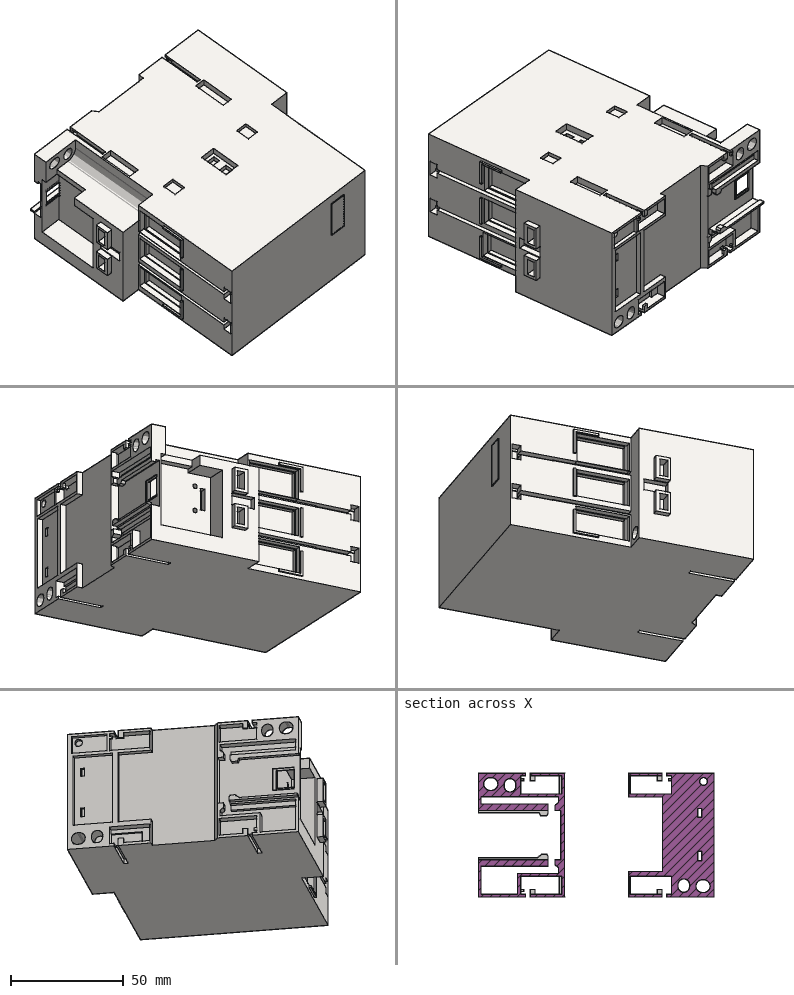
import cadquery as cq
OVERALL_LENGTH = 115.2
OVERALL_WIDTH = 110.0
HEIGHT = 55.0
BASE_LENGTH = 54.7
BASE_WIDTH = 104.6
HEAD_END = 112.3
HEAD_INSET = 9.8
MID_Y = BASE_WIDTH / 2
MID_Z = HEIGHT / 2
WALL = 1.3


def block(x, y, z):
    """Box given by its (low, high) range along each axis."""
    return (
        cq.Workplane("XY")
        .box(x[1] - x[0], y[1] - y[0], z[1] - z[0], centered=False)
        .translate((x[0], y[0], z[0]))
    )


def prism(points_yz, x):
    """Outline in (Y, Z) extruded over an X range."""
    return cq.Workplane("YZ").polyline(points_yz).close().extrude(x[1] - x[0]).translate((x[0], 0, 0))


def flip_y(shape):
    return shape.mirror("XZ", (0, MID_Y, 0))


def flip_z(shape):
    return shape.mirror("XY", (0, 0, MID_Z))


def both_sides(shape):
    """The shape on the -Y side and its mirror image on the +Y side."""
    return shape.union(flip_y(shape))


def top_and_bottom(shape):
    return shape.union(flip_z(shape))


HEAD_Y = (HEAD_INSET, BASE_WIDTH - HEAD_INSET)
END_PAD_THICKNESS = 0.5
END_PAD_Y = (73.2, 81.1)
END_PAD_Z = (29.6, 49.9)


def outer_shape():
    base = block((0, BASE_LENGTH), (0, BASE_WIDTH), (0, HEIGHT))
    head = block((BASE_LENGTH, HEAD_END), HEAD_Y, (0, HEIGHT))
    end_pad = block((HEAD_END, HEAD_END + END_PAD_THICKNESS), END_PAD_Y, END_PAD_Z)
    return base.union(head).union(end_pad)


CHANNEL_DEPTH = 2.8
CHANNEL_Y = (36.5, 66.7)
CHANNEL_SLOPE_WIDTH = 2.0
CHANNEL_PATCH_END_Y = 81.7
PATCH_Z = (11.4, 44.4)


def rail_channel():
    low_y, high_y = CHANNEL_Y
    profile = (
        cq.Workplane("XY")
        .moveTo(0, low_y)
        .lineTo(CHANNEL_DEPTH, low_y + CHANNEL_SLOPE_WIDTH)
        .lineTo(CHANNEL_DEPTH, high_y)
        .lineTo(0, high_y)
        .close()
        .extrude(HEIGHT)
    )
    patch = block((0, CHANNEL_DEPTH), (high_y, CHANNEL_PATCH_END_Y), PATCH_Z)
    return profile.union(patch)


POCKET_DEPTH = 4.0
POCKET_HEIGHT = 8.0
NEAR_POCKET_Y = (18.9, 35.8)
FAR_POCKET_Y = (67.4, 85.6)
GROOVE_LENGTH = 21.7
GROOVE_DEPTH = 2.2
GROOVE_WIDTH = 2.0
GROOVE_OFFSET = 2.1
TAB_WIDTH = 2.3
TAB_BOTTOM = 3.5
SMALL_TAB_WIDTH = 1.3
SMALL_TAB_TOP = 2.4
TAB_THICKNESS = 1.2
UNDERCUT_X = (2.6, POCKET_DEPTH)
UNDERCUT_WIDTH = 1.2
STEP_Y = (71.5, 85.6)
STEP_Z = (WALL, 7.4)
STEP_DEPTH = 5.2


def corner_pocket(length, with_small_tab=True):
    """Pocket below the top face with its groove, its outer end at Y = 0."""
    top = HEIGHT - WALL
    groove_end = GROOVE_OFFSET + GROOVE_WIDTH
    tab_x = (0, TAB_THICKNESS)
    tab_bottom = HEIGHT - TAB_BOTTOM
    pocket = block((0, POCKET_DEPTH), (0, length), (top - POCKET_HEIGHT, top))
    pocket = pocket.cut(block(tab_x, (groove_end, groove_end + TAB_WIDTH), (tab_bottom, top)))
    if with_small_tab:
        pocket = pocket.cut(block(tab_x, (0, SMALL_TAB_WIDTH), (tab_bottom, HEIGHT - SMALL_TAB_TOP)))
    mouth = block((0, POCKET_DEPTH), (GROOVE_OFFSET, groove_end), (top, HEIGHT))
    groove_z = (HEIGHT - GROOVE_DEPTH, HEIGHT)
    groove = block((POCKET_DEPTH, GROOVE_LENGTH), (GROOVE_OFFSET, groove_end), groove_z)
    return pocket.union(mouth).union(groove)


def corner_pockets():
    near_y, near_end = NEAR_POCKET_Y
    far_start, far_y = FAR_POCKET_Y
    far_length = far_y - far_start
    near = corner_pocket(near_end - near_y).translate((0, near_y, 0))
    pocket_top = HEIGHT - WALL
    near = near.union(
        block(UNDERCUT_X, (near_end, near_end + UNDERCUT_WIDTH), (pocket_top - POCKET_HEIGHT, pocket_top))
    )
    far_top = corner_pocket(far_length).mirror("XZ").translate((0, far_y, 0))
    far_plain = corner_pocket(far_length, with_small_tab=False)
    far_bottom = flip_z(far_plain.mirror("XZ").translate((0, far_y, 0)))
    step = block((POCKET_DEPTH, STEP_DEPTH), STEP_Y, STEP_Z)
    return top_and_bottom(near).union(far_top).union(far_bottom).union(step)


COVER_Y = (84.2, 102.0)
COVER_DEPTH = 2.4
COVER_SLOT_Y = (97.3, 99.1)
COVER_SLOT_Z = ((16.1, 20.3), (35.5, 39.2))
COVER_SLOT_DEPTH = 1.2
COVER_SLOT_LEDGE = 0.5
LABEL_Y = (86.7, 102.8)
LABEL_Z = (45.7, HEIGHT - WALL)
LABEL_DEPTH = 1.8
DIMPLE_CENTRE = (99.9, 51.3)
DIMPLE_DIAMETER = 3.3
DIMPLE_DEPTH = 1.7


def cover_recesses():
    cuts = block((0, COVER_DEPTH), COVER_Y, PATCH_Z)
    for slot_z in COVER_SLOT_Z:
        cuts = cuts.union(block((0, COVER_DEPTH + COVER_SLOT_DEPTH / 2), COVER_SLOT_Y, slot_z))
        deep_y = (COVER_SLOT_Y[0], COVER_SLOT_Y[1] - COVER_SLOT_LEDGE)
        cuts = cuts.union(block((0, COVER_DEPTH + COVER_SLOT_DEPTH), deep_y, slot_z))
    label = block((0, LABEL_DEPTH), LABEL_Y, LABEL_Z)
    dimple = (
        cq.Workplane("YZ")
        .center(*DIMPLE_CENTRE)
        .circle(DIMPLE_DIAMETER / 2)
        .extrude(LABEL_DEPTH + DIMPLE_DEPTH)
    )
    return cuts.union(label).union(dimple)


MOUNT_HOLE_SIZE = (6.2, 5.5)
MOUNT_HOLES_YZ = ((5.5, 50.1), (99.6, 4.8))
BLIND_HOLE_SIZE = (5.9, 5.1)
BLIND_HOLES_YZ = ((14.0, 49.5), (91.1, 5.1))
FLANGE_THICKNESS = 7.1


def mounting_holes():
    through = (
        cq.Workplane("YZ").pushPoints(MOUNT_HOLES_YZ).slot2D(*MOUNT_HOLE_SIZE).extrude(BASE_LENGTH)
    )
    blind = (
        cq.Workplane("YZ").pushPoints(BLIND_HOLES_YZ).slot2D(*BLIND_HOLE_SIZE, 90).extrude(FLANGE_THICKNESS)
    )
    return through.union(blind)


RECESS_DEPTH = 3.9
RECESS_TOP = 44.5
RECESS_Y = (WALL, 35.5)
RECESS_HOOK_Y = 34.0
HOOK_Z = (38.4, 40.7)
HOOK_SLOPE_TOP = 41.9
LOWER_PART_Y = (WALL, 17.3)
NOTCH_TOP = HOOK_Z[0]
GUIDE_END_Y = 31.0
SHELF_Z = (39.2, 41.4)
BAR_THICKNESS = 2.2
UPPER_BAR_BOTTOM = 37.3
UPPER_NUB_BOTTOM = 36.0
UPPER_NUB_SHOULDER = 37.1
UPPER_NUB_Y = (27.6, 30.3)
UPPER_NUB_FOOT_Y = 27.0


def latch_recess():
    low_y, high_y = RECESS_Y
    channel_y = CHANNEL_Y[0]
    upper_edge = [
        (high_y, RECESS_TOP),
        (high_y, HOOK_SLOPE_TOP),
        (RECESS_HOOK_Y, HOOK_Z[1]),
        (RECESS_HOOK_Y, HOOK_Z[0]),
        (channel_y, HOOK_Z[0]),
    ]
    lower_edge = [(y, HEIGHT - z) for y, z in reversed(upper_edge)]
    outline = [(low_y, RECESS_TOP)] + upper_edge + lower_edge + [(low_y, HEIGHT - RECESS_TOP)]
    depth = (0, RECESS_DEPTH)
    recess = prism(outline, depth)
    lower_part = block(depth, LOWER_PART_Y, (WALL, HEIGHT - RECESS_TOP))
    notch = block(depth, (0, low_y), (HEIGHT - NOTCH_TOP, NOTCH_TOP))
    return recess.union(lower_part).union(notch)


def latch_guides():
    """Shelf and guide rib above and below the notch."""
    guide_y = (0, GUIDE_END_Y)
    rib = block((0, RECESS_DEPTH), guide_y, (NOTCH_TOP, SHELF_Z[0]))
    shelf = block((BAR_THICKNESS, RECESS_DEPTH), guide_y, SHELF_Z)
    return top_and_bottom(rib.union(shelf))


def upper_bar():
    outline = [
        (0, NOTCH_TOP),
        (GUIDE_END_Y, NOTCH_TOP),
        (GUIDE_END_Y, UPPER_NUB_SHOULDER),
        (UPPER_NUB_Y[1], UPPER_NUB_BOTTOM),
        (UPPER_NUB_Y[0], UPPER_NUB_BOTTOM),
        (UPPER_NUB_FOOT_Y, UPPER_BAR_BOTTOM),
        (0, UPPER_BAR_BOTTOM),
    ]
    return prism(outline, (0, BAR_THICKNESS))


CUTOUT_BACK_Y = 18.9
CUTOUT_FLOOR_Z = 44.8
CUTOUT_RADIUS = 4.8


def top_cutout():
    """Open corner above a shelf, with a hollow round between shelf and back wall."""
    return (
        cq.Workplane("YZ")
        .moveTo(0, CUTOUT_FLOOR_Z)
        .lineTo(CUTOUT_BACK_Y - CUTOUT_RADIUS, CUTOUT_FLOOR_Z)
        .radiusArc((CUTOUT_BACK_Y, CUTOUT_FLOOR_Z + CUTOUT_RADIUS), -CUTOUT_RADIUS)
        .lineTo(CUTOUT_BACK_Y, HEIGHT)
        .lineTo(0, HEIGHT)
        .close()
        .extrude(BASE_LENGTH - FLANGE_THICKNESS)
        .translate((FLANGE_THICKNESS, 0, 0))
    )


WINDOW_X = (4.8, 36.2)
WINDOW_Z = (7.8, 40.0)
WINDOW_HIGH_Z = 41.8
WINDOW_DEPTH = 10.6
SHELF_NOTCH_END_X = 24.7
SHELF_NOTCH_DEPTH = 7.0
PIN_HOLE_X = 28.2
PIN_HOLE_Z = (22.8, 34.3)
PIN_HOLE_DIAMETER = 2.1
KEY_SLOT_X = (30.9, 33.2)
KEY_SLOT_Z = (23.6, 33.9)
WINDOW_DETAIL_DEPTH = 2.9
OPENING_Y = (2.8, 12.4)
OPENING_Z = (22.3, 32.6)
OPENING_STEP = 0.9
OPENING_STEP_DEPTH = 0.5


def window():
    floor_y = WINDOW_DEPTH + WINDOW_DETAIL_DEPTH
    cuts = block(WINDOW_X, (0, WINDOW_DEPTH), WINDOW_Z)
    high_part_x = (WINDOW_X[0], SHELF_NOTCH_END_X)
    cuts = cuts.union(block(high_part_x, (0, WINDOW_DEPTH), (WINDOW_Z[1], WINDOW_HIGH_Z)))
    shelf_notch = block(
        (FLANGE_THICKNESS, SHELF_NOTCH_END_X), (0, SHELF_NOTCH_DEPTH), (WINDOW_HIGH_Z, CUTOUT_FLOOR_Z)
    )
    cuts = cuts.union(shelf_notch).union(block(KEY_SLOT_X, (0, floor_y), KEY_SLOT_Z))
    for hole_z in PIN_HOLE_Z:
        hole = (
            cq.Workplane("XZ").center(PIN_HOLE_X, hole_z).circle(PIN_HOLE_DIAMETER / 2).extrude(-floor_y)
        )
        cuts = cuts.union(hole)
    return cuts


def window_opening():
    """Stepped opening from the latch recess into the window."""
    step_x = RECESS_DEPTH + OPENING_STEP_DEPTH
    wide = block((RECESS_DEPTH, step_x), OPENING_Y, OPENING_Z)
    narrow = block(
        (step_x, WINDOW_X[0] + OPENING_STEP_DEPTH),
        (OPENING_Y[0], WINDOW_DEPTH + OPENING_STEP_DEPTH),
        (OPENING_Z[0] + OPENING_STEP, OPENING_Z[1] - OPENING_STEP),
    )
    return wide.union(narrow)


LUG_X = (40.9, 47.7)
LUG_Z = ((13.5, 24.1), (30.3, 41.4))
LUG_HEIGHT = (OVERALL_WIDTH - BASE_WIDTH) / 2
LUG_SLOT_X = (42.2, 45.8)
LUG_SLOT_MARGIN = 1.4
LUG_SLOT_DEPTH = 5.2
LUG_GAP_X = (LUG_X[0], 52.4)
LUG_GAP_Z = (24.5, 30.0)
LUG_GAP_DEPTH = 3.0


def side_lugs():
    lugs = [block(LUG_X, (-LUG_HEIGHT, 0), lug_z) for lug_z in LUG_Z]
    return both_sides(lugs[0].union(lugs[1]))


def lug_cuts():
    cuts = block(LUG_GAP_X, (0, LUG_GAP_DEPTH), LUG_GAP_Z)
    slot_y = (-LUG_HEIGHT, LUG_SLOT_DEPTH - LUG_HEIGHT)
    for low_z, high_z in LUG_Z:
        cuts = cuts.union(block(LUG_SLOT_X, slot_y, (low_z + LUG_SLOT_MARGIN, high_z - LUG_SLOT_MARGIN)))
    return both_sides(cuts)


TERMINAL_START_X = 55.5
TERMINALS = (
    (81.1, 3.0, 15.4),
    (80.5, 20.6, 33.9),
    (80.5, 38.1, 52.0),
)
TERMINAL_STEP_DEPTH = 2.9
TERMINAL_DEPTH = 5.1
TERMINAL_START_INSET = 0.9
TERMINAL_INSET = 0.5
RIB_HEIGHT = 0.9
RIB_WIDTH = 1.0
RIB_X = (70.4, 82.4)
UPRIGHT_X = (RIB_X[1] - RIB_WIDTH, RIB_X[1])
UPRIGHT_Z = ((1.6, 13.2), (20.2, 33.9), (41.7, 53.3))
SLOT_WIDTH = 1.8
SLOT_Z = (17.2, 37.0)
SLOT_STEP_X = 91.1
SLOT_DEPTH = 2.8
SLOT_DEEP_DEPTH = 3.5
SLOT_HEAD_X = (107.4, 111.5)
SLOT_HEAD_WIDTH = 7.1
SLOT_HEAD_DEPTH = 4.6
SLOT_HEAD_LIP = 1.0
SLOT_HEAD_LIP_DEPTH = 4.0


def centred(middle, width):
    return (middle - width / 2, middle + width / 2)


def terminal_cuts():
    face = HEAD_INSET
    cuts = cq.Workplane("XY")
    for end_x, low_z, high_z in TERMINALS:
        outer = block((TERMINAL_START_X, end_x), (face, face + TERMINAL_STEP_DEPTH), (low_z, high_z))
        inner = block(
            (TERMINAL_START_X + TERMINAL_START_INSET, end_x - TERMINAL_INSET),
            (face, face + TERMINAL_DEPTH),
            (low_z + TERMINAL_INSET, high_z - TERMINAL_INSET),
        )
        cuts = cuts.add(outer.union(inner))
    for middle in SLOT_Z:
        slot_z = centred(middle, SLOT_WIDTH)
        shallow = block((BASE_LENGTH, SLOT_STEP_X), (face, face + SLOT_DEPTH), slot_z)
        deep = block((SLOT_STEP_X, SLOT_HEAD_X[0]), (face, face + SLOT_DEEP_DEPTH), slot_z)
        head = block(SLOT_HEAD_X, (face, face + SLOT_HEAD_LIP_DEPTH), centred(middle, SLOT_HEAD_WIDTH))
        head_middle = block(
            SLOT_HEAD_X, (face, face + SLOT_HEAD_DEPTH), centred(middle, SLOT_HEAD_WIDTH - 2 * SLOT_HEAD_LIP)
        )
        cuts = cuts.add(shallow.union(deep).union(head).union(head_middle))
    return both_sides(cuts.combine())


def terminal_ribs():
    y = (HEAD_INSET - RIB_HEIGHT, HEAD_INSET)
    low_z = UPRIGHT_Z[0][0]
    high_z = UPRIGHT_Z[-1][1]
    ribs = block(RIB_X, y, (low_z, low_z + RIB_WIDTH))
    ribs = ribs.union(block(RIB_X, y, (high_z - RIB_WIDTH, high_z)))
    for upright_z in UPRIGHT_Z:
        ribs = ribs.union(block(UPRIGHT_X, y, upright_z))
    return both_sides(ribs)


TOP_RECESS_DEPTH = 3.2
LONG_RECESS_X = (22.8, 39.7)
LONG_RECESS_Y = ((19.7, 25.1), (79.5, 84.5))
SQUARE_DEPTH = 1.7
SQUARE_X = (BASE_LENGTH, 61.9)
SQUARE_Y = ((25.8, 31.7), (72.6, 78.3))
SOCKET_X = (BASE_LENGTH, 69.7)
SOCKET_Y = (50.1, 57.7)
CONTACT_X = ((56.3, 59.7), (63.7, 67.9))
CONTACT_Y = (52.3, 56.3)
CONTACT_DEPTH = 2.3


def top_recesses():
    depth = (HEIGHT - TOP_RECESS_DEPTH, HEIGHT)
    cuts = block(SOCKET_X, SOCKET_Y, depth)
    for contact_x in CONTACT_X:
        cuts = cuts.union(block(contact_x, CONTACT_Y, (depth[0] - CONTACT_DEPTH, HEIGHT)))
    for y in LONG_RECESS_Y:
        cuts = cuts.union(block(LONG_RECESS_X, y, depth))
    for y in SQUARE_Y:
        cuts = cuts.union(block(SQUARE_X, y, (HEIGHT - SQUARE_DEPTH, HEIGHT)))
    return cuts


def make_housing():
    housing = outer_shape().cut(latch_recess()).union(latch_guides()).union(upper_bar())
    housing = housing.union(side_lugs()).union(terminal_ribs())
    cuts = (
        rail_channel(),
        corner_pockets(),
        cover_recesses(),
        mounting_holes(),
        top_cutout(),
        window(),
        window_opening(),
        lug_cuts(),
        terminal_cuts(),
        top_recesses(),
    )
    for cut in cuts:
        housing = housing.cut(cut)
    return housing.solids()


LATCH_THICKNESS = OVERALL_LENGTH - HEAD_END - END_PAD_THICKNESS
LATCH_BOTTOM = HEIGHT - NOTCH_TOP
LATCH_TOP = 17.5
LATCH_NUB_TOP = 19.0
LATCH_NUB_SHOULDER = 18.1
LATCH_NUB_Y = (28.1, 30.4)
LATCH_NUB_FOOT_Y = 26.3


def make_latch():
    """Bar lying along Y on the rear face, with a raised nub at its inner end."""
    outline = [
        (0, LATCH_BOTTOM),
        (GUIDE_END_Y, LATCH_BOTTOM),
        (GUIDE_END_Y, LATCH_NUB_SHOULDER),
        (LATCH_NUB_Y[1], LATCH_NUB_TOP),
        (LATCH_NUB_Y[0], LATCH_NUB_TOP),
        (LATCH_NUB_FOOT_Y, LATCH_TOP),
        (0, LATCH_TOP),
    ]
    return prism(outline, (-LATCH_THICKNESS, 0))


housing = make_housing()
latch = make_latch()
result = cq.Compound.makeCompound([housing.val(), latch.val()])